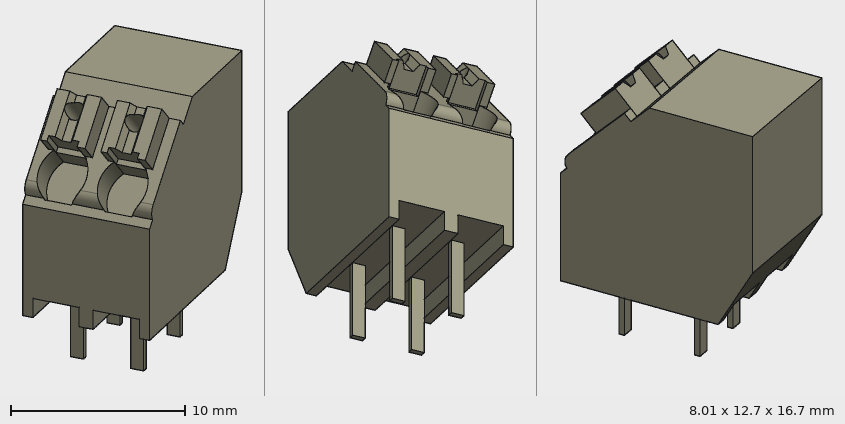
import cadquery as cq
import math


total_height = 16.66
block_width = 8.01
block_depth = 12.7
block_height = 12.95
ways = 2
pitch = 3.8
way_centres = [(i - (ways - 1) / 2) * pitch for i in range(ways)]
entry_shift = -0.05

front_height = 7.06
back_chamfer_depth = 2.28
back_chamfer_height = 4.0
channel_width = 2.92
channel_height = 1.22

deck_height = 0.6
deck_end_along = 6.58
bead_radius = 0.72
bead_along = 1.3

pocket_start_along = 0.52
pocket_floor_below_deck = 1.87
pocket_half_width = 1.5
pocket_side_radius = 2.0
pocket_centre_along = 2.02

lever_width = 2.8
lever_start_along = 3.37
lever_above_chamfer = 2.03
tip_notch_width = 1.9
tip_notch_size = 0.35
groove_top_width = 1.1
groove_floor_width = 0.57
groove_depth = 0.5
tool_hole_diameter = 1.1
tool_hole_along = 5.61

pin_width = 0.82
pin_thickness = 0.37
pin_front_faces = [2.88, 7.88]

pocket_floor = deck_height - pocket_floor_below_deck
lever_length = deck_end_along - lever_start_along
lever_height = lever_above_chamfer - pocket_floor
lever_top_z = front_height + (deck_end_along + lever_above_chamfer) * math.sin(math.radians(45))
pin_bottom_z = lever_top_z - total_height


def chamfer_plane(x, height=0.0):
    """Plane parallel to the chamfer: local x along X, local y up the chamfer, local z outward."""
    base = cq.Plane(origin=(x, 0, front_height), xDir=(1, 0, 0), normal=(0, -1, 1))
    return cq.Workplane(base).workplane(offset=height)


def chamfer_side_plane(x):
    """Plane square to X: local x up the chamfer, local y outward from it, local z along X."""
    return cq.Workplane(cq.Plane(origin=(x, 0, front_height), xDir=(0, 1, 1), normal=(1, 0, 0)))


def block_body():
    chamfer_run = block_height - front_height
    return (
        cq.Workplane("YZ", origin=(-block_width / 2, 0, 0))
        .moveTo(0, 0)
        .lineTo(0, front_height)
        .lineTo(chamfer_run, block_height)
        .lineTo(block_depth, block_height)
        .lineTo(block_depth, back_chamfer_height)
        .lineTo(block_depth - back_chamfer_depth, 0)
        .close()
        .extrude(block_width)
    )


def deck():
    """Raised deck with a rounded bead along its lower edge."""
    bead_centre_height = deck_height - bead_radius
    bead_foot_along = bead_along - math.sqrt(bead_radius**2 - bead_centre_height**2)
    middle_angle = math.radians(135)
    bead_middle = (
        bead_along + bead_radius * math.cos(middle_angle),
        bead_centre_height + bead_radius * math.sin(middle_angle),
    )
    return (
        chamfer_side_plane(-block_width / 2)
        .moveTo(bead_foot_along, 0)
        .threePointArc(bead_middle, (bead_along, deck_height))
        .lineTo(deck_end_along, deck_height)
        .lineTo(deck_end_along, 0)
        .close()
        .extrude(block_width)
    )


def wire_pocket(x):
    """Pocket with flat ends and bulging round sides."""
    arc_centre = pocket_side_radius - pocket_half_width

    def half_width(along):
        return math.sqrt(pocket_side_radius**2 - (along - pocket_centre_along) ** 2) - arc_centre

    lower = half_width(pocket_start_along)
    upper = half_width(lever_start_along)
    return (
        chamfer_plane(x, pocket_floor)
        .moveTo(-lower, pocket_start_along)
        .lineTo(lower, pocket_start_along)
        .threePointArc((pocket_half_width, pocket_centre_along), (upper, lever_start_along))
        .lineTo(-upper, lever_start_along)
        .threePointArc((-pocket_half_width, pocket_centre_along), (-lower, pocket_start_along))
        .close()
        .extrude(pocket_floor_below_deck)
    )


def lever_blank(x):
    """Plain lever block, also the shape of its slot."""
    return (
        chamfer_plane(x, pocket_floor)
        .center(0, lever_start_along + lever_length / 2)
        .rect(lever_width, lever_length)
        .extrude(lever_height)
    )


def foot_channel(x):
    """Channel under one way, open at the front and back."""
    return cq.Workplane("XY").box(
        channel_width, block_depth, channel_height, centered=(True, False, False)
    ).translate((x, 0, 0))


def make_housing():
    body = block_body().union(deck())
    for x in way_centres:
        body = body.cut(wire_pocket(x + entry_shift)).cut(lever_blank(x)).cut(foot_channel(x))
    return body


def finger_groove(x):
    """Tapered groove along the whole top of the lever."""
    floor = lever_above_chamfer - groove_depth
    top_end = chamfer_plane(x).plane.toWorldCoords((0, deck_end_along, 0))
    profile = [
        (-groove_top_width / 2, lever_above_chamfer),
        (-groove_floor_width / 2, floor),
        (groove_floor_width / 2, floor),
        (groove_top_width / 2, lever_above_chamfer),
    ]
    end_plane = cq.Plane(origin=top_end, xDir=(1, 0, 0), normal=(0, -1, -1))
    return cq.Workplane(end_plane).polyline(profile).close().extrude(lever_length)


def tip_notch(x):
    """Step across the lower end of the lever, above the wire pocket."""
    bottom = deck_height - tip_notch_size
    return (
        chamfer_plane(x, bottom)
        .center(0, lever_start_along + tip_notch_size / 2)
        .rect(tip_notch_width, tip_notch_size)
        .extrude(lever_above_chamfer - bottom)
    )


def tool_hole(x):
    """Round hole right through the lever, square to its top."""
    return (
        chamfer_plane(x, pocket_floor)
        .center(0, tool_hole_along)
        .circle(tool_hole_diameter / 2)
        .extrude(lever_height)
    )


def make_lever(x):
    cut_x = x + entry_shift
    return lever_blank(x).cut(finger_groove(cut_x)).cut(tip_notch(cut_x)).cut(tool_hole(cut_x))


def make_pin(x, front_face):
    """Flat pin hanging from the roof of a foot channel."""
    return cq.Workplane("XY").box(
        pin_width, pin_thickness, channel_height - pin_bottom_z, centered=(True, False, False)
    ).translate((x, front_face, pin_bottom_z))


housing = make_housing()
levers = [make_lever(x) for x in way_centres]
pins = [make_pin(x, y) for x in way_centres for y in pin_front_faces]

result = cq.Compound.makeCompound([body.val() for body in [housing, *levers, *pins]])